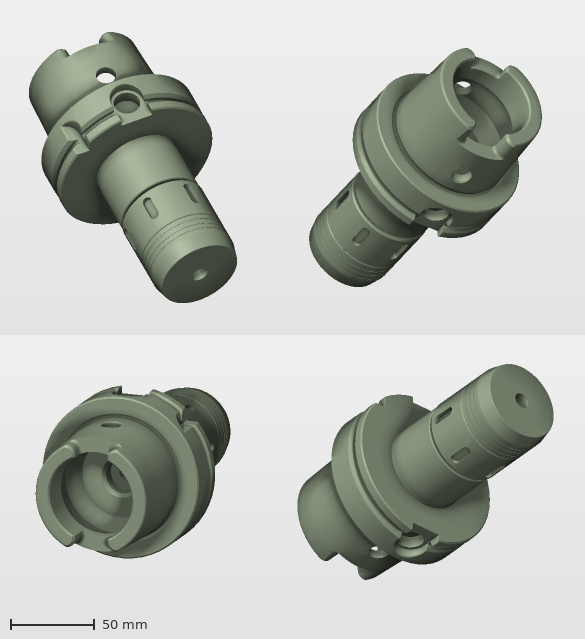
import cadquery as cq
import math

total_length = 170.0

taper_end_radius = 35.5
taper_root_radius = 37.9
taper_length = 47.8
taper_end_rounding = 1.5

undercut_floor_radius = 36.7
undercut_cone_end = 49.3
undercut_depth = 0.5
undercut_inner_radius = 38.6
undercut_outer_radius = 39.8

flange_radius = 50.0
flange_start = 50.0
flange_end = 79.0
flange_chamfer = 0.8
groove_center = 70.0
groove_mouth_width = 6.8
groove_floor_width = 3.4
groove_depth = 4.0
groove_slope_depth = 2.0

sleeve_radius = 26.26
sleeve_end = 114.5
sleeve_chamfer = 0.5
root_cone_radius = 26.7
root_cone_length = 1.9
core_radius = 21.16

bore_radius = 26.5
bore_mouth_radius = 27.5
bore_length = 20.0
clamping_groove_radius = 31.54
clamping_groove_end = 40.3
clamping_cone_angle = 30
bore_floor_radius = 25.0
seat_mouth_radius = 12.66
seat_radius = 10.5
seat_depth = 10.2
coolant_radius = 5.02

drive_slot_width = 20.9
drive_slot_depths = {1: 9.7, -1: 14.5}
drive_slot_flank_rounding = 5.6
drive_slot_floor_rounding = 2.0
drive_slot_end_chamfer = 1.5
drive_slot_clearance = 0.2
drive_slot_top = taper_root_radius + 1.7

cross_hole_radius = 6.04
cross_hole_position = 34.7
cross_hole_chamfer = 0.7

keyway_width = 20.0
keyway_center = 64.6
keyway_floor_height = 44.0
keyway_chamfer = 0.5
key_hole_radius = 8.0
key_hole_depth = 7.6

notch_wall = 31.1
notch_end_radius = 9.4

nut_radius = 26.9
nut_start = 116.5
ring_start = 145.5
nut_edge_chamfer = 0.8
joint_chamfer = 0.5
wrench_slot_count = 6
wrench_slot_length = 16.3
wrench_slot_width = 5.8
wrench_slot_center = 128.5
wrench_slot_depth = 3.0
ring_groove_centers = (149.8, 153.8, 157.5)
ring_groove_width = 1.2
ring_groove_depth = 0.25
nose_start = 161.0
nose_end_radius = 24.6
nose_rounding = 0.5


def revolve_profile(points):
    """Turn a closed (X, radius) outline around the X axis."""
    outline = cq.Workplane("XY").polyline(points).close()
    return outline.revolve(360, (0, 0, 0), (1, 0, 0))


def cylinder_along_x(radius, start, end):
    return cq.Workplane("YZ", origin=(start, 0, 0)).circle(radius).extrude(end - start)


def make_blank():
    """Solid outside shape of the holder, without the gripper groove."""
    blank = revolve_profile([
        (0, 0),
        (0, taper_end_radius),
        (taper_length, taper_root_radius),
        (undercut_cone_end, undercut_floor_radius),
        (flange_start + undercut_depth, undercut_floor_radius),
        (flange_start + undercut_depth, undercut_inner_radius),
        (flange_start, undercut_outer_radius),
        (flange_start, flange_radius - flange_chamfer),
        (flange_start + flange_chamfer, flange_radius),
        (flange_end - flange_chamfer, flange_radius),
        (flange_end, flange_radius - flange_chamfer),
        (flange_end, root_cone_radius),
        (flange_end + root_cone_length, sleeve_radius),
        (sleeve_end - sleeve_chamfer, sleeve_radius),
        (sleeve_end, sleeve_radius - sleeve_chamfer),
        (sleeve_end, core_radius),
        (total_length, core_radius),
        (total_length, 0),
    ])
    return blank.faces("<X").edges().fillet(taper_end_rounding)


def make_bore():
    """Stepped bore from the taper end to the front of the core."""
    mouth_chamfer = bore_mouth_radius - bore_radius
    cone_height = clamping_groove_radius - bore_floor_radius
    bore_floor = clamping_groove_end + cone_height / math.tan(math.radians(clamping_cone_angle))
    seat_chamfer = seat_mouth_radius - seat_radius
    return revolve_profile([
        (0, 0),
        (0, bore_mouth_radius),
        (mouth_chamfer, bore_radius),
        (bore_length, bore_radius),
        (bore_length, clamping_groove_radius),
        (clamping_groove_end, clamping_groove_radius),
        (bore_floor, bore_floor_radius),
        (bore_floor, seat_mouth_radius),
        (bore_floor + seat_chamfer, seat_radius),
        (bore_floor + seat_depth, seat_radius),
        (bore_floor + seat_depth, coolant_radius),
        (total_length, coolant_radius),
        (total_length, 0),
    ])


def make_gripper_groove():
    half_mouth = groove_mouth_width / 2
    half_floor = groove_floor_width / 2
    slope_radius = flange_radius - groove_slope_depth
    floor_radius = flange_radius - groove_depth
    return revolve_profile([
        (groove_center - half_mouth, flange_radius),
        (groove_center - half_floor, slope_radius),
        (groove_center - half_floor, floor_radius),
        (groove_center + half_floor, floor_radius),
        (groove_center + half_floor, slope_radius),
        (groove_center + half_mouth, flange_radius),
    ])


def drive_slot_outline(position, side, widening):
    """Cross-section of a drive slot at an X position, widened evenly on its flanks.

    Straight flanks flare out in arcs that run tangent to a circle just outside the taper.
    """
    depth = drive_slot_depths[side]
    half_width = drive_slot_width / 2
    taper_slope = (taper_root_radius - taper_end_radius) / taper_length
    tangent_radius = taper_end_radius + taper_slope * depth + drive_slot_clearance
    center_radius = tangent_radius - drive_slot_flank_rounding
    center_y = half_width + drive_slot_flank_rounding
    center_z = math.sqrt(center_radius**2 - center_y**2)
    end_angle = math.atan2(center_z, center_y)
    middle_angle = (math.pi + end_angle) / 2

    arc_radius = drive_slot_flank_rounding - widening
    flank_y = half_width + widening
    middle_y = center_y + arc_radius * math.cos(middle_angle)
    middle_z = center_z + arc_radius * math.sin(middle_angle)
    end_y = center_y + arc_radius * math.cos(end_angle)
    end_z = center_z + arc_radius * math.sin(end_angle)
    return (
        cq.Workplane("YZ", origin=(position, 0, 0))
        .moveTo(-flank_y, 0)
        .lineTo(flank_y, 0)
        .lineTo(flank_y, side * center_z)
        .threePointArc((middle_y, side * middle_z), (end_y, side * end_z))
        .lineTo(end_y, side * drive_slot_top)
        .lineTo(-end_y, side * drive_slot_top)
        .lineTo(-end_y, side * end_z)
        .threePointArc((-middle_y, side * middle_z), (-flank_y, side * center_z))
        .close()
    )


def make_drive_slot(side):
    """Cutter for one drive slot, with rounded floor corners."""
    slot = drive_slot_outline(0, side, 0).extrude(drive_slot_depths[side])
    flank_edges = slot.faces(">X").edges("not |Y")
    return flank_edges.fillet(drive_slot_floor_rounding)


def make_drive_slot_chamfer(side):
    """Cutter for the chamfer where a drive slot meets the end face of the taper."""
    wide = drive_slot_outline(0, side, drive_slot_end_chamfer).wires().val()
    narrow = drive_slot_outline(drive_slot_end_chamfer, side, 0).wires().val()
    return cq.Workplane(cq.Solid.makeLoft([wide, narrow], True))


def make_cross_hole():
    """Cutter for the hole through both walls of the taper, chamfered at its outer ends."""
    slope = (taper_root_radius - taper_end_radius) / taper_length
    surface = taper_end_radius + slope * cross_hole_position
    mouth_radius = cross_hole_radius + cross_hole_chamfer
    half_outline = (
        cq.Workplane("XZ", origin=(cross_hole_position, 0, 0))
        .lineTo(cross_hole_radius, 0)
        .lineTo(cross_hole_radius, surface - cross_hole_chamfer)
        .lineTo(mouth_radius, surface)
        .lineTo(mouth_radius, surface + 1.7)
        .lineTo(0, surface + 1.7)
        .close()
    )
    half_hole = half_outline.revolve(360, (0, 0, 0), (0, 1, 0))
    return half_hole.union(half_hole.mirror("XY"))


def make_keyway():
    """Cutter for the +Z keyway: a slot with one round end, open toward the sleeve."""
    half_width = keyway_width / 2
    height = flange_radius - keyway_floor_height
    floor = cq.Workplane("XY", origin=(keyway_center, 0, keyway_floor_height))
    run_out = flange_end - keyway_center
    slot = (
        floor.moveTo(0, half_width)
        .threePointArc((-half_width, 0), (0, -half_width))
        .lineTo(run_out, -half_width)
        .lineTo(run_out, half_width)
        .close()
        .extrude(height)
    )
    return slot.union(floor.circle(key_hole_radius).extrude(-key_hole_depth))


def make_notch():
    """Cutter for the corner notch on the -Y, +Z side, with a rounded end toward the taper."""
    notch_size = flange_radius - notch_wall
    block = (
        cq.Workplane("XY", origin=(0, 0, notch_wall))
        .moveTo(keyway_center - notch_end_radius, -flange_radius)
        .lineTo(keyway_center - notch_end_radius, -notch_wall - notch_end_radius)
        .radiusArc((keyway_center, -notch_wall), notch_end_radius)
        .lineTo(flange_end, -notch_wall)
        .lineTo(flange_end, -flange_radius)
        .close()
        .extrude(notch_size)
    )
    return block


def chamfer_cutouts(holder):
    """Chamfer the keyway and notch edges that lie on the flange rim, clear of its end chamfers."""
    margin = 0.2
    reach = 2 * flange_radius
    rim_box = cq.selectors.BoxSelector(
        (flange_start + flange_chamfer + margin, -reach, -reach),
        (flange_end - flange_chamfer - margin, reach, reach),
    )

    def on_rim(edge):
        middle = edge.positionAt(0.5)
        return abs(math.hypot(middle.y, middle.z) - flange_radius) < 0.02

    return holder.edges(rim_box).filter(on_rim).chamfer(keyway_chamfer)


def make_holder():
    keyway = make_keyway()
    holder = make_blank().cut(make_bore())
    for side in drive_slot_depths:
        holder = holder.cut(make_drive_slot(side)).cut(make_drive_slot_chamfer(side))
    holder = holder.cut(make_cross_hole())
    holder = holder.cut(keyway).cut(keyway.mirror("XY")).cut(make_notch())
    holder = chamfer_cutouts(holder)
    return holder.cut(make_gripper_groove())


def make_nut():
    nut = revolve_profile([
        (nut_start, core_radius),
        (nut_start, nut_radius - nut_edge_chamfer),
        (nut_start + nut_edge_chamfer, nut_radius),
        (ring_start - joint_chamfer, nut_radius),
        (ring_start, nut_radius - joint_chamfer),
        (ring_start, core_radius),
    ])
    slot = (
        cq.Workplane("XZ", origin=(wrench_slot_center, wrench_slot_depth - nut_radius, 0))
        .slot2D(wrench_slot_length, wrench_slot_width)
        .extrude(nut_radius)
    )
    for index in range(wrench_slot_count):
        angle = index * 360 / wrench_slot_count
        nut = nut.cut(slot.rotate((0, 0, 0), (1, 0, 0), angle))
    return nut


def make_front_ring():
    ring = revolve_profile([
        (ring_start, core_radius),
        (ring_start, nut_radius - joint_chamfer),
        (ring_start + joint_chamfer, nut_radius),
        (nose_start, nut_radius),
        (total_length, nose_end_radius),
        (total_length, core_radius),
    ])
    ring = ring.faces(">X").edges(cq.selectors.RadiusNthSelector(-1)).fillet(nose_rounding)
    for center in ring_groove_centers:
        start = center - ring_groove_width / 2
        end = center + ring_groove_width / 2
        outside = cylinder_along_x(nut_radius + 1.7, start, end)
        ring = ring.cut(outside.cut(cylinder_along_x(nut_radius - ring_groove_depth, start, end)))
    return ring


holder = make_holder()
nut = make_nut()
front_ring = make_front_ring()
result = cq.Compound.makeCompound([holder.val(), nut.val(), front_ring.val()])